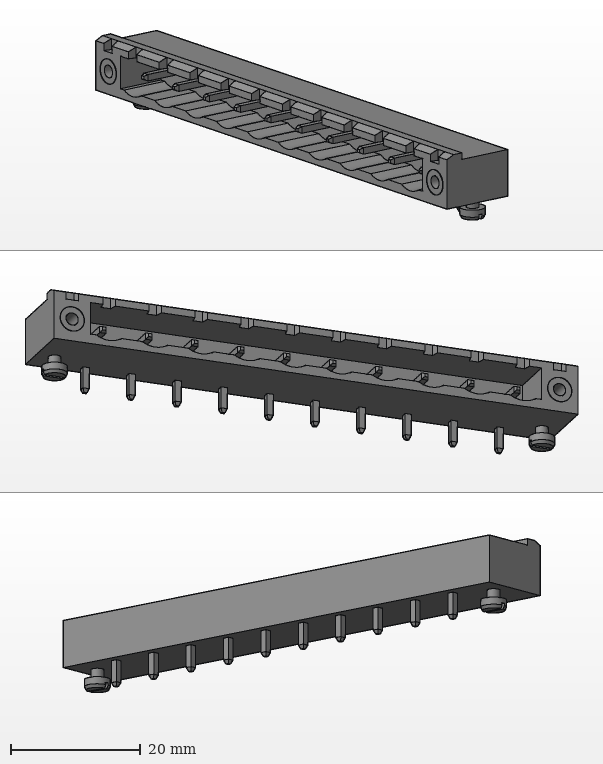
import cadquery as cq


length = 86.8
depth = 12.0
total_height = 12.6
tail_length = 4.1
height = total_height - tail_length
deck_height = height - 1.0
ridge_depth = 2.95
bevel_depth = 1.3
bevel_drop = 0.6

pin_count = 10
pin_row_length = 68.55
pin_pitch = pin_row_length / (pin_count - 1)
pin_positions = [i * pin_pitch - pin_row_length / 2 for i in range(pin_count)]
pin_width = 1.0
pin_tip_width = 0.5
pin_taper = 0.6
contact_height = 3.65
contact_setback = 2.0
tail_y = depth - 1.9

cavity_length = 74.6
cavity_floor = 1.6
cavity_roof = 6.8
cavity_depth = 8.0
scallop_width = 4.2
scallop_drop = 0.6

notch_front_width = 2.1
notch_rear_width = 1.6

flange_offset = length / 2 - 3.0
flange_positions = [-flange_offset, flange_offset]
insert_diameter = 4.0
insert_recess = 0.1
thread_diameter = 2.0
thread_depth = 5.2
thread_height = 3.65

screw_y = depth - 4.5
shank_diameter = 2.0
shank_length = 1.6
shank_embed = 0.9
head_diameter = 4.0
head_thickness = 1.65
head_chamfer_height = 0.5
head_chamfer_inset = 0.3
drive_slot_width = 0.5
drive_slot_depth = 0.9


def make_housing():
    profile = [
        (0, 0),
        (depth, 0),
        (depth, deck_height),
        (ridge_depth, deck_height),
        (ridge_depth, height),
        (bevel_depth, height),
        (0, height - bevel_drop),
    ]
    return cq.Workplane("YZ").polyline(profile).close().extrude(length / 2, both=True)


def make_cavity():
    """Rectangular pocket whose floor dips in a shallow arc below every contact."""
    half_length = cavity_length / 2
    outline = cq.Workplane("XZ").moveTo(-half_length, cavity_roof).lineTo(-half_length, cavity_floor)
    for x in pin_positions:
        outline = outline.lineTo(x - scallop_width / 2, cavity_floor).threePointArc(
            (x, cavity_floor - scallop_drop), (x + scallop_width / 2, cavity_floor)
        )
    outline = outline.lineTo(half_length, cavity_floor).lineTo(half_length, cavity_roof)
    return outline.close().extrude(-cavity_depth)


def make_notch(x):
    """Notch through the ridge bevel, narrowing towards the rear, down to the cavity roof."""
    plan = [
        (x - notch_front_width / 2, 0),
        (x + notch_front_width / 2, 0),
        (x + notch_rear_width / 2, bevel_depth),
        (x - notch_rear_width / 2, bevel_depth),
    ]
    return cq.Workplane("XY", (0, 0, cavity_roof)).polyline(plan).close().extrude(height - cavity_roof)


def make_bar(start, direction, bar_length):
    """Square bar along direction, with a tapered point at its far end."""
    shaft_length = bar_length - pin_taper
    shaft_plane = cq.Plane(origin=start, xDir=(1, 0, 0), normal=direction)
    shaft = cq.Workplane(shaft_plane).rect(pin_width, pin_width).extrude(shaft_length)
    point = (
        cq.Workplane(shaft_plane)
        .workplane(offset=shaft_length)
        .rect(pin_width, pin_width)
        .workplane(offset=pin_taper)
        .rect(pin_tip_width, pin_tip_width)
        .loft(combine=True)
    )
    return shaft.union(point)


def make_pin(x):
    """Right-angled pin: a contact pointing forwards and a solder tail pointing down."""
    bend = (x, tail_y, contact_height)
    contact = make_bar(bend, (0, -1, 0), tail_y - contact_setback)
    tail = make_bar(bend, (0, 0, -1), contact_height + tail_length)
    return contact.union(tail)


def make_flange_bore(x):
    """Threaded hole with a shallow recess marking the face of its insert."""
    face = cq.Workplane("XZ", (x, 0, thread_height))
    recess = face.circle(insert_diameter / 2).extrude(-insert_recess)
    return recess.union(face.circle(thread_diameter / 2).extrude(-thread_depth))


def make_screw(x):
    """Slotted screw standing out of the underside, its slot running along X."""
    shank = (
        cq.Workplane("XY", (x, screw_y, -shank_length))
        .circle(shank_diameter / 2)
        .extrude(shank_length + shank_embed)
    )
    head_bottom = -shank_length - head_thickness
    radius = head_diameter / 2
    head_section = [
        (0, 0),
        (radius - head_chamfer_inset, 0),
        (radius, head_chamfer_height),
        (radius, head_thickness),
        (0, head_thickness),
    ]
    head = (
        cq.Workplane("XZ", (x, screw_y, head_bottom))
        .polyline(head_section)
        .close()
        .revolve(360, (0, 0, 0), (0, 1, 0))
    )
    slot = (
        cq.Workplane("XY", (x, screw_y, head_bottom))
        .rect(head_diameter, drive_slot_width)
        .extrude(drive_slot_depth)
    )
    return shank.union(head.cut(slot))


body = make_housing().cut(make_cavity())
for x in pin_positions + flange_positions:
    body = body.cut(make_notch(x))
for x in pin_positions:
    body = body.union(make_pin(x))
for x in flange_positions:
    body = body.cut(make_flange_bore(x)).union(make_screw(x))

result = body